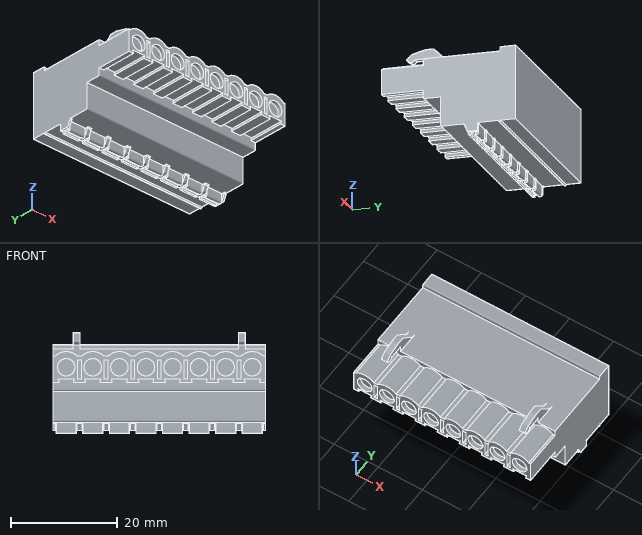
import cadquery as cq


pole_count = 8
length = 40.1
depth = 26.6
height = 19.0
pitch = length / pole_count
edge_radius = 0.32

shoulder_y = 8.25
lower_front_y = 11.65
ledge_front_y = 23.45
base_z = 2.1
shelf_z = 7.95
deck_z = 15.88
ledge_z = 16.72

plug_bottom_z = 9.62
valley_z = 14.6
entry_z = 12.47
crown_radius = 2.95
hole_radius = 1.65
hole_depth = 1.0
slot_width = 0.72
slot_bottom_z = 10.3
slot_top_z = 13.87
notch_top_width = 3.05
notch_mouth_width = 2.7

hook_width = 1.32
hook_inset = 4.45
hook_under_z = 17.15
hook_top_back_y = 9.15
hook_top_front_y = 7.55
hook_brow_y = 4.85
hook_brow_z = 18.33
hook_tip_y = 3.6
hook_tip_z = 17.25
hook_barb_y = 4.77
hook_barb_z = 16.6
hook_barb_back_y = 5.45
hook_root_radius = 1.8
hook_back_radius = 0.4
hook_crown_radius = 2.4
hook_brow_radius = 0.32
hook_barb_radius = 0.25

foot_back_y = 19.05
foot_front_y = 17.0
block_width = 3.8
post_gap = 0.12
post_bottom_z = 0.52
post_root_y = 16.45
post_root_chamfer = 0.2
groove_width = 0.75
nub_y = 23.4
nub_radius = 0.25

pole_centers = [(i + 0.5) * pitch for i in range(pole_count)]
pole_borders = [i * pitch for i in range(1, pole_count)]


def prism_along_x(points, x_start, width):
    """Extrude a (Y, Z) outline along +X."""
    return cq.Workplane("YZ", origin=(x_start, 0, 0)).polyline(points).close().extrude(width)


def box(x_span, y_span, z_span):
    """Box given by its lower and upper limits on each axis."""
    size = [span[1] - span[0] for span in (x_span, y_span, z_span)]
    return cq.Workplane(cq.Solid.makeBox(*size, cq.Vector(x_span[0], y_span[0], z_span[0])))


def fillet_along_x(body, y, z, x, radius):
    """Round the edge parallel to X that passes through (x, y, z)."""
    edge = body.edges("|X").edges(cq.selectors.NearestToPointSelector((x, y, z)))
    return edge.fillet(radius)


def make_housing():
    outline = [
        (lower_front_y, base_z),
        (depth, base_z),
        (depth, ledge_z),
        (ledge_front_y, ledge_z),
        (ledge_front_y, deck_z),
        (shoulder_y, deck_z),
        (shoulder_y, shelf_z),
        (lower_front_y, shelf_z),
    ]
    housing = prism_along_x(outline, 0, length)
    rounded_corners = [(lower_front_y, base_z), (ledge_front_y, ledge_z), (shoulder_y, shelf_z)]
    for y, z in rounded_corners:
        housing = fillet_along_x(housing, y, z, length / 2, edge_radius)
    return housing


def make_plug_front():
    """Row of round-topped wire entries in front of the housing."""
    plug = box((0, length), (0, shoulder_y), (plug_bottom_z, valley_z))
    for x in pole_centers:
        crown = cq.Workplane("XZ").center(x, entry_z).circle(crown_radius).extrude(-shoulder_y)
        keep = box((x - pitch / 2, x + pitch / 2), (0, shoulder_y), (valley_z, height))
        plug = plug.union(crown.intersect(keep))
    return plug


def make_wire_entries():
    holes = cq.Workplane("XZ").pushPoints([(x, entry_z) for x in pole_centers])
    return holes.circle(hole_radius).extrude(-hole_depth)


def make_slots():
    slot_height = slot_top_z - slot_bottom_z
    slot_center_z = (slot_top_z + slot_bottom_z) / 2
    slots = cq.Workplane("XZ").pushPoints([(x, slot_center_z) for x in pole_borders])
    return slots.rect(slot_width, slot_height).extrude(-shoulder_y)


def make_notch(x):
    """Dovetail notch under one pole, wider at its top."""
    outline = [
        (x - notch_mouth_width / 2, plug_bottom_z),
        (x + notch_mouth_width / 2, plug_bottom_z),
        (x + notch_top_width / 2, slot_bottom_z),
        (x - notch_top_width / 2, slot_bottom_z),
    ]
    return cq.Workplane("XZ").polyline(outline).close().extrude(-shoulder_y)


def make_hook(x):
    """Latch hook with a 45 degree back, reaching forward over the plug front."""
    hook_root_y = hook_top_back_y + height - deck_z
    pad_y = hook_root_y + hook_root_radius
    pad_z = deck_z - edge_radius
    outline = [
        (shoulder_y, pad_z),
        (pad_y, pad_z),
        (pad_y, deck_z),
        (hook_root_y, deck_z),
        (hook_top_back_y, height),
        (hook_top_front_y, height),
        (hook_brow_y, hook_brow_z),
        (hook_tip_y, hook_tip_z),
        (hook_barb_y, hook_barb_z),
        (hook_barb_back_y, hook_under_z),
        (shoulder_y, hook_under_z),
    ]
    hook = prism_along_x(outline, x - hook_width / 2, hook_width)
    rounded_corners = [
        (hook_root_y, deck_z, hook_root_radius),
        (hook_top_back_y, height, hook_back_radius),
        (hook_top_front_y, height, hook_crown_radius),
        (hook_brow_y, hook_brow_z, hook_brow_radius),
        (hook_tip_y, hook_tip_z, hook_barb_radius),
        (hook_barb_y, hook_barb_z, hook_barb_radius),
    ]
    for y, z, radius in rounded_corners:
        hook = fillet_along_x(hook, y, z, x, radius)
    return hook


def make_foot_block(x):
    """Foot under one pole, split along X by a groove in its bottom."""
    x_span = (x - block_width / 2, x + block_width / 2)
    block = box(x_span, (foot_front_y, foot_back_y), (0, base_z))
    for y in (foot_front_y, foot_back_y):
        block = fillet_along_x(block, y, 0, x, edge_radius)
    groove_y = (foot_front_y + foot_back_y) / 2
    groove_span = (groove_y - groove_width / 2, groove_y + groove_width / 2)
    return block.cut(box(x_span, groove_span, (0, post_bottom_z)))


def make_post(x):
    """Sloped post between the foot blocks; the end posts are cut off flush with the housing."""
    half_width = (pitch - block_width) / 2 - post_gap
    x_start = max(0, x - half_width)
    x_end = min(length, x + half_width)
    outline = [
        (post_root_y - post_root_chamfer, base_z),
        (post_root_y, base_z - post_root_chamfer),
        (foot_front_y, post_bottom_z),
        (foot_back_y, post_bottom_z),
        (foot_back_y, base_z - post_root_chamfer),
        (foot_back_y + post_root_chamfer, base_z),
    ]
    post = prism_along_x(outline, x_start, x_end - x_start)
    return fillet_along_x(post, foot_front_y, post_bottom_z, (x_start + x_end) / 2, edge_radius)


def make_nub():
    """Small round bead along the underside."""
    return cq.Workplane("YZ").center(nub_y, base_z).circle(nub_radius).extrude(length)


result = make_housing().union(make_plug_front())
result = result.cut(make_wire_entries()).cut(make_slots())
for pole_x in pole_centers:
    result = result.cut(make_notch(pole_x)).union(make_foot_block(pole_x))
for border_x in [0, *pole_borders, length]:
    result = result.union(make_post(border_x))
for hook_x in (hook_inset, length - hook_inset):
    result = result.union(make_hook(hook_x))
result = result.union(make_nub())